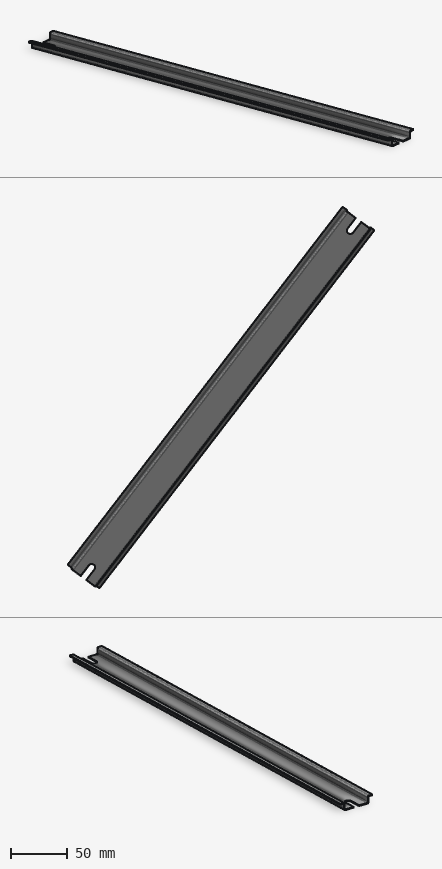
import cadquery as cq

length = 403.0
overall_width = 35.0
height = 7.5
thickness = 1.0
channel_width = 27.0
inner_bend = 1.0
outer_bend = inner_bend + thickness

slot_width = 6.0
slot_depth = 15.0


def hat_profile():
    """Closed hat-shaped section in the YZ plane, base resting on Z = 0."""
    lip = overall_width / 2
    wall_outside = channel_width / 2
    wall_inside = wall_outside - thickness
    flange_underside = height - thickness
    right_side = [
        (wall_outside, 0),
        (wall_outside, flange_underside),
        (lip, flange_underside),
        (lip, height),
        (wall_inside, height),
        (wall_inside, thickness),
    ]
    left_side = [(-y, z) for y, z in reversed(right_side)]
    return cq.Workplane("YZ").polyline(right_side + left_side).close()


def round_bends(body):
    """Round the inside and outside of the four sheet bends."""
    wall_outside = channel_width / 2
    wall_inside = wall_outside - thickness
    outer_corners = [(wall_outside, 0), (wall_inside, height)]
    inner_corners = [(wall_inside, thickness), (wall_outside, height - thickness)]
    for corners, radius in ((outer_corners, outer_bend), (inner_corners, inner_bend)):
        for y, z in corners:
            for side in (-1, 1):
                corner = cq.selectors.NearestToPointSelector((0, side * y, z))
                body = body.edges("|X").edges(corner).fillet(radius)
    return body


def end_slot(side):
    """Cutter for the round-ended slot at the -X (-1) or +X (+1) end."""
    return (
        cq.Workplane("XY")
        .center(side * length / 2, 0)
        .slot2D(2 * slot_depth, slot_width)
        .extrude(height)
    )


rail = round_bends(hat_profile().extrude(length / 2, both=True))
for end in (-1, 1):
    rail = rail.cut(end_slot(end))

result = rail